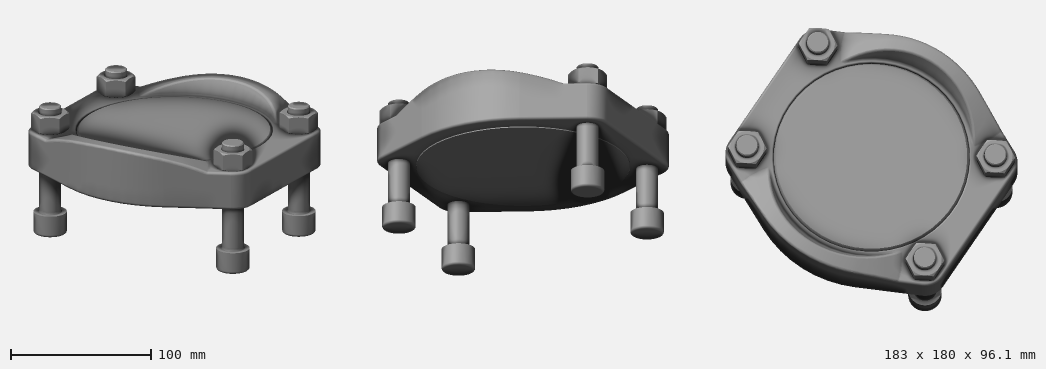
import cadquery as cq
import math

RING_WIDTH = 183.0
RING_DEPTH = 180.0
FLAT_HEIGHT = 28.0
CREST_HEIGHT = 41.0
RING_EDGE_RADIUS = 2.0

CREST_SPHERE_RADIUS = 195.8
CREST_CENTER_Y = 87.8
RECESS_BASE_DIAMETER = 146.0
RECESS_WALL_ANGLE = 27.0

BORE_DIAMETER = 140.4
BORE_EDGE_RADIUS = 1.1
COUNTERBORE_DIAMETER = 153.2
COUNTERBORE_DEPTH = 13.9

COVER_DIAMETER = 139.6
COVER_FLANGE_DIAMETER = 152.5
COVER_PROTRUSION = 0.5
COVER_TOP_CHAMFER = 1.5

SCREW_X = 76.0
SCREW_Y = 46.0
SHANK_DIAMETER = 15.7
SHANK_LENGTH = 80.0
SHANK_END_DIAMETER = 14.3
SHANK_ABOVE_NUT = 5.0
HEAD_DIAMETER = 24.0
HEAD_HEIGHT = 16.1
HEAD_EDGE_RADIUS = 1.8
NECK_DIAMETER = 17.0
NECK_HEIGHT = 1.6
NUT_WIDTH = 24.0
NUT_HEIGHT = 13.0
NUT_CHAMFER_ANGLE = 30.0
NUT_COUNTERSINK_DIAMETER = 17.2

outline_radius = RING_DEPTH / 2
corner_radius = RING_WIDTH / 2 - SCREW_X
recess_wall_slope = math.tan(math.radians(RECESS_WALL_ANGLE))
nut_top = FLAT_HEIGHT + NUT_HEIGHT
shank_top = nut_top + SHANK_ABOVE_NUT
head_top = shank_top - SHANK_LENGTH
screw_positions = [(sx * SCREW_X, sy * SCREW_Y) for sx in (-1, 1) for sy in (-1, 1)]


def cylinder(diameter, bottom, top):
    return cq.Workplane("XY").workplane(offset=bottom).circle(diameter / 2).extrude(top - bottom)


def ring_outline(height):
    """Prism bounded by two large arcs, two straight sides and four rounded corners, all tangent."""
    corner_distance = math.hypot(SCREW_X, SCREW_Y)
    corner_angle = math.atan2(SCREW_Y, SCREW_X)
    normal_angle = corner_angle + math.acos((outline_radius - corner_radius) / corner_distance)

    def corner_point(angle):
        return (
            SCREW_X + corner_radius * math.cos(angle),
            SCREW_Y + corner_radius * math.sin(angle),
        )

    side_end = corner_point(0)
    corner_middle = corner_point(normal_angle / 2)
    flank_start = corner_point(normal_angle)
    flank_end = (outline_radius * math.cos(normal_angle), outline_radius * math.sin(normal_angle))

    def mirrored(point, sx, sy):
        return (sx * point[0], sy * point[1])

    return (
        cq.Workplane("XY")
        .moveTo(*mirrored(side_end, 1, -1))
        .lineTo(*side_end)
        .threePointArc(corner_middle, flank_start)
        .lineTo(*flank_end)
        .threePointArc((0, outline_radius), mirrored(flank_end, -1, 1))
        .lineTo(*mirrored(flank_start, -1, 1))
        .threePointArc(mirrored(corner_middle, -1, 1), mirrored(side_end, -1, 1))
        .lineTo(*mirrored(side_end, -1, -1))
        .threePointArc(mirrored(corner_middle, -1, -1), mirrored(flank_start, -1, -1))
        .lineTo(*mirrored(flank_end, -1, -1))
        .threePointArc((0, -outline_radius), mirrored(flank_end, 1, -1))
        .lineTo(*mirrored(flank_start, 1, -1))
        .threePointArc(mirrored(corner_middle, 1, -1), mirrored(side_end, 1, -1))
        .close()
        .extrude(height)
    )


def crest(side):
    """Half of the outline prism, rounded off on top by the sphere of that side."""
    half = cq.Workplane("XY").box(RING_WIDTH, outline_radius, CREST_HEIGHT, centered=(True, True, False))
    half = half.translate((0, side * outline_radius / 2, 0))
    sphere = cq.Workplane("YZ").sphere(CREST_SPHERE_RADIUS)
    sphere = sphere.translate((0, side * CREST_CENTER_Y, CREST_HEIGHT - CREST_SPHERE_RADIUS))
    return ring_outline(CREST_HEIGHT).intersect(half).intersect(sphere)


def crest_recess():
    """Cone above the flat face, which slopes the inner walls of both crests outwards."""
    height = CREST_HEIGHT - FLAT_HEIGHT + 1.8
    base_radius = RECESS_BASE_DIAMETER / 2
    top_radius = base_radius + height * recess_wall_slope
    cone = cq.Solid.makeCone(base_radius, top_radius, height, pnt=cq.Vector(0, 0, FLAT_HEIGHT))
    return cq.Workplane(cone)


def bolt_holes(bottom, top):
    plane = cq.Workplane("XY").workplane(offset=bottom)
    return plane.pushPoints(screw_positions).circle(SHANK_DIAMETER / 2).extrude(top - bottom)


def stepped_bore():
    """Through bore with a rounded mouth at the top and a wider counterbore from below."""
    bore_radius = BORE_DIAMETER / 2
    return (
        cq.Workplane("XZ")
        .lineTo(COUNTERBORE_DIAMETER / 2, 0)
        .lineTo(COUNTERBORE_DIAMETER / 2, COUNTERBORE_DEPTH)
        .lineTo(bore_radius, COUNTERBORE_DEPTH)
        .lineTo(bore_radius, FLAT_HEIGHT - BORE_EDGE_RADIUS)
        .tangentArcPoint((bore_radius + BORE_EDGE_RADIUS, FLAT_HEIGHT), relative=False)
        .lineTo(0, FLAT_HEIGHT)
        .close()
        .revolve(360, (0, 0), (0, 1))
    )


def round_ring_edges(body):
    """Fillet the inner crest edges, then the foot of the crests, then the outer rims."""
    body = body.faces("%CONE").edges(">Z").fillet(RING_EDGE_RADIUS)

    foot_zone = cq.selectors.BoxSelector(
        (-SCREW_X, -outline_radius, 0), (SCREW_X, outline_radius, CREST_HEIGHT)
    )
    foot = body.faces("+Z").edges("%CIRCLE").edges(foot_zone)
    body = foot.fillet(RING_EDGE_RADIUS)

    return body.faces("#Z").edges("not(|Z)").fillet(RING_EDGE_RADIUS)


def clamp_ring():
    body = ring_outline(FLAT_HEIGHT).union(crest(-1)).union(crest(1))
    body = body.cut(crest_recess())
    body = round_ring_edges(body)
    body = body.cut(stepped_bore())
    return body.cut(bolt_holes(0, FLAT_HEIGHT))


def cover_disc():
    """Disc with a chamfered top and a wider flange that fills the counterbore."""
    disc = cylinder(COVER_DIAMETER, -COVER_PROTRUSION, FLAT_HEIGHT)
    disc = disc.faces(">Z").edges().chamfer(COVER_TOP_CHAMFER)
    return disc.union(cylinder(COVER_FLANGE_DIAMETER, -COVER_PROTRUSION, COUNTERBORE_DEPTH))


def screw(x, y):
    """Cylinder-head screw with its head below the ring and its chamfered end above the nut."""
    head = cylinder(HEAD_DIAMETER, head_top - HEAD_HEIGHT, head_top)
    head = head.faces("<Z").edges().fillet(HEAD_EDGE_RADIUS)
    end_chamfer = (SHANK_DIAMETER - SHANK_END_DIAMETER) / 2
    shank = (
        cq.Workplane("XZ")
        .moveTo(0, head_top)
        .lineTo(0, shank_top)
        .lineTo(SHANK_END_DIAMETER / 2, shank_top)
        .lineTo(SHANK_DIAMETER / 2, shank_top - end_chamfer)
        .lineTo(SHANK_DIAMETER / 2, head_top + NECK_HEIGHT)
        .tangentArcPoint((NECK_DIAMETER / 2, head_top), relative=False)
        .close()
        .revolve(360, (0, 0), (0, 1))
    )
    return head.union(shank).translate((x, y, 0))


def nut(x, y):
    """Hexagon nut with flats facing X, chamfered corners and a countersunk top."""
    hexagon_radius = NUT_WIDTH / math.sqrt(3)
    chamfer_width = hexagon_radius - NUT_WIDTH / 2
    chamfer_drop = chamfer_width * math.tan(math.radians(NUT_CHAMFER_ANGLE))
    hexagon = cq.Workplane("XY").polygon(6, 2 * hexagon_radius).extrude(NUT_HEIGHT)
    hexagon = hexagon.rotate((0, 0, 0), (0, 0, 1), 90)
    envelope = cylinder(2 * hexagon_radius, 0, NUT_HEIGHT)
    envelope = envelope.faces("<Z or >Z").chamfer(chamfer_drop, chamfer_width)
    body = hexagon.intersect(envelope).cut(cylinder(SHANK_DIAMETER, 0, NUT_HEIGHT))
    bore_rim = body.faces(">Z").edges("%CIRCLE").edges(cq.selectors.RadiusNthSelector(0))
    body = bore_rim.chamfer((NUT_COUNTERSINK_DIAMETER - SHANK_DIAMETER) / 2)
    return body.translate((x, y, FLAT_HEIGHT))


ring = clamp_ring()
cover = cover_disc()
screws = [screw(x, y) for x, y in screw_positions]
nuts = [nut(x, y) for x, y in screw_positions]

result = cq.Compound.makeCompound(
    [ring.val(), cover.val(), *[s.val() for s in screws], *[n.val() for n in nuts]]
)